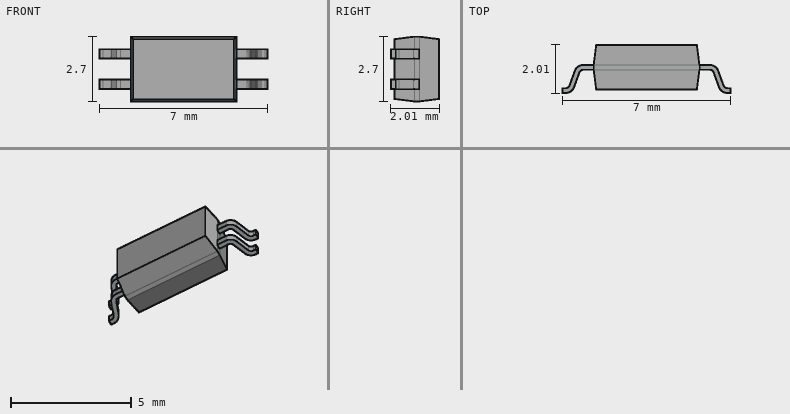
import cadquery as cq
import math

span_x = 7.0
housing_length = 4.4
housing_depth = 1.855
housing_height = 2.7
draft_inset = 0.105
standoff = 0.15

lead_thickness = 0.21
lead_width = 0.4
lead_pitch = 1.27
foot_flat = 0.13
inner_bend_radius = 0.175
outer_bend_radius = inner_bend_radius + lead_thickness
bend_angle = math.radians(70)

band_bottom = standoff + (housing_depth - lead_thickness) / 2
band_top = band_bottom + lead_thickness
lead_reach = (span_x - housing_length) / 2


def section_at(y):
    """Workplane at height y whose normal is +Y, local x along -X and local y along Z."""
    return cq.Workplane(cq.Plane(origin=(0, y, 0), xDir=(-1, 0, 0), normal=(0, 1, 0)))


def drafted_block(y_wide, y_narrow):
    """Tapered half of the housing, from its wide face at the band to its end face."""
    return (
        section_at(y_wide)
        .rect(housing_length, housing_height)
        .workplane(offset=y_narrow - y_wide)
        .rect(housing_length - 2 * draft_inset, housing_height - 2 * draft_inset)
        .loft(ruled=True)
    )


def make_housing():
    """Straight-sided band with a tapered half on either side of it."""
    band = section_at(band_bottom).rect(housing_length, housing_height).extrude(lead_thickness)
    lower_half = drafted_block(band_bottom, standoff)
    upper_half = drafted_block(band_top, standoff + housing_depth)
    return band.union(lower_half).union(upper_half)


def bend_step(radius):
    """X and Y distance covered by a bend of the given radius."""
    return radius * math.sin(bend_angle), radius * (1 - math.cos(bend_angle))


def make_lead(center_z):
    """Left-hand lead, ending flush against the housing's band."""
    outer_x, outer_y = bend_step(outer_bend_radius)
    inner_x, inner_y = bend_step(inner_bend_radius)
    slope_y = band_bottom - outer_y - inner_y
    slope_x = slope_y / math.tan(bend_angle)
    shoulder_flat = lead_reach - foot_flat - outer_x - slope_x - inner_x

    outline = cq.Workplane("XY", origin=(0, 0, center_z)).moveTo(-span_x / 2, 0)
    for sign, first_flat, last_flat in ((1, foot_flat, shoulder_flat), (-1, shoulder_flat, foot_flat)):
        outline = (
            outline.line(sign * first_flat, 0)
            .tangentArcPoint((sign * outer_x, sign * outer_y))
            .line(sign * slope_x, sign * slope_y)
            .tangentArcPoint((sign * inner_x, sign * inner_y))
            .line(sign * last_flat, 0)
            .line(0, sign * lead_thickness)
        )
    return outline.close().extrude(lead_width / 2, both=True)


housing = make_housing()

leads = []
for center_z in (-lead_pitch / 2, lead_pitch / 2):
    left_lead = make_lead(center_z)
    right_lead = left_lead.mirror("YZ")
    leads.append(left_lead.val())
    leads.append(right_lead.val())

result = cq.Compound.makeCompound([housing.val(), *leads])